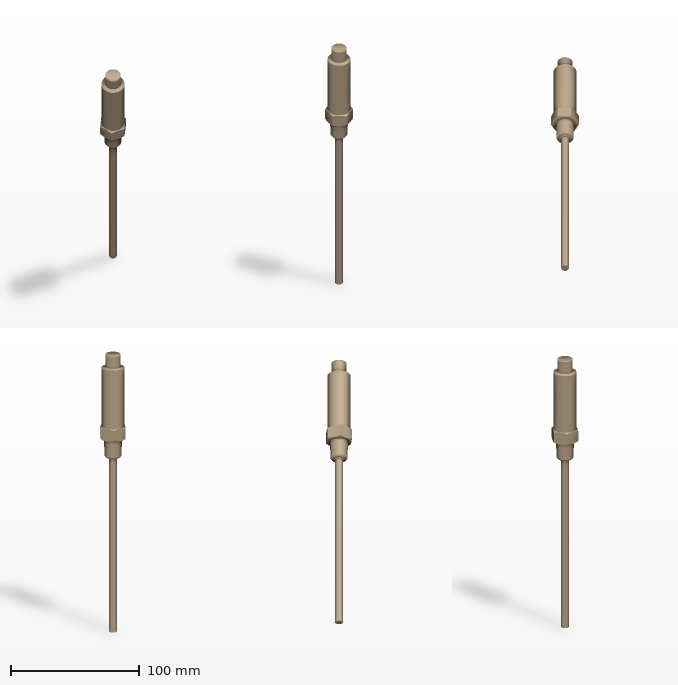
import cadquery as cq
import math

TOTAL_LENGTH = 225.7
STEM_DIAMETER = 6.0
STEM_LENGTH = 140.7

COLLAR_DIAMETER = 7.8
COLLAR_LENGTH = 0.7
NOSE_FACE_RISE = 0.4
NOSE_TIP_DIAMETER = 11.5
NOSE_LENGTH = 1.1
THREAD_END_DIAMETER = 13.15
THREAD_LENGTH = 9.2
THREAD_TAPER = 1 / 16
NECK_LENGTH = 4.6

HEX_ACROSS_FLATS = 19.0
HEX_HEIGHT = 10.4
HEX_CHAMFER_ANGLE = 30.0
HEX_FACE_DIAMETER = 18.6

HOUSING_DIAMETER = 17.8
SHOULDER_DIAMETER = 14.4
SHOULDER_HEIGHT = 0.9
NUB_DIAMETER = 12.0
NUB_LENGTH = 10.2
NUB_CHAMFER = 0.6

HEX_ACROSS_CORNERS = HEX_ACROSS_FLATS / math.cos(math.radians(30))
NECK_DIAMETER = THREAD_END_DIAMETER + THREAD_TAPER * THREAD_LENGTH
COLLAR_TOP = STEM_LENGTH + COLLAR_LENGTH
NOSE_BOTTOM = COLLAR_TOP + NOSE_FACE_RISE
THREAD_BOTTOM = NOSE_BOTTOM + NOSE_LENGTH
NECK_BOTTOM = THREAD_BOTTOM + THREAD_LENGTH
HEX_BOTTOM = NECK_BOTTOM + NECK_LENGTH
HEX_TOP = HEX_BOTTOM + HEX_HEIGHT
HOUSING_TOP = TOTAL_LENGTH - NUB_LENGTH


def revolve_profile(stations):
    """Turn a solid about Z from (diameter, height) stations listed from bottom to top."""
    outline = [(-diameter / 2, height) for diameter, height in stations]
    axis_bottom = (0, stations[0][1])
    axis_top = (0, stations[-1][1])
    profile = cq.Workplane("XZ").polyline([axis_bottom, *outline, axis_top]).close()
    return profile.revolve(360, (0, 0, 0), (0, 1, 0))


def make_turned_body():
    """Stem, collar, nose, thread, neck, housing and nub as one turned piece."""
    return revolve_profile([
        (STEM_DIAMETER, 0),
        (STEM_DIAMETER, STEM_LENGTH),
        (COLLAR_DIAMETER, STEM_LENGTH),
        (COLLAR_DIAMETER, COLLAR_TOP),
        (NOSE_TIP_DIAMETER, NOSE_BOTTOM),
        (THREAD_END_DIAMETER, THREAD_BOTTOM),
        (NECK_DIAMETER, NECK_BOTTOM),
        (NECK_DIAMETER, HEX_BOTTOM),
        (HOUSING_DIAMETER, HEX_BOTTOM),
        (HOUSING_DIAMETER, HOUSING_TOP - SHOULDER_HEIGHT),
        (SHOULDER_DIAMETER, HOUSING_TOP),
        (NUB_DIAMETER, HOUSING_TOP),
        (NUB_DIAMETER, TOTAL_LENGTH - NUB_CHAMFER),
        (NUB_DIAMETER - 2 * NUB_CHAMFER, TOTAL_LENGTH),
    ])


def make_hexagon():
    """Hexagon whose corners are trimmed by a cone at both ends."""
    prism = (
        cq.Workplane("XY")
        .workplane(offset=HEX_BOTTOM)
        .polygon(6, HEX_ACROSS_CORNERS)
        .extrude(HEX_HEIGHT)
    )
    corner_overhang = (HEX_ACROSS_CORNERS - HEX_FACE_DIAMETER) / 2
    chamfer_height = corner_overhang * math.tan(math.radians(HEX_CHAMFER_ANGLE))
    trim_envelope = revolve_profile([
        (HEX_FACE_DIAMETER, HEX_BOTTOM),
        (HEX_ACROSS_CORNERS, HEX_BOTTOM + chamfer_height),
        (HEX_ACROSS_CORNERS, HEX_TOP - chamfer_height),
        (HEX_FACE_DIAMETER, HEX_TOP),
    ])
    return prism.intersect(trim_envelope)


result = make_turned_body().union(make_hexagon())